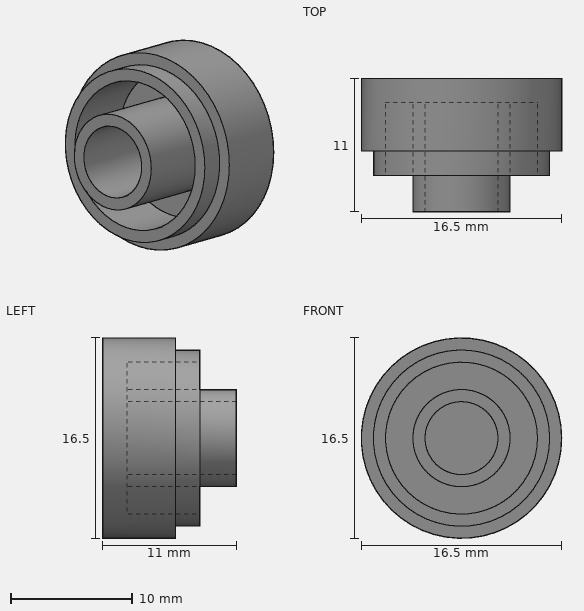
import cadquery as cq

wall = 1.0
bore_diameter = 6.0
body_diameter = 16.5
body_length = 6.0
collar_length = 2.0
tube_projection = 3.0
back_thickness = 2.0

tube_diameter = bore_diameter + 2 * wall
collar_diameter = body_diameter - 2 * wall
groove_diameter = collar_diameter - 2 * wall

tube_face = 0.0
collar_face = tube_face + tube_projection
body_face = collar_face + collar_length
back_face = body_face + body_length
floor = back_face - back_thickness


def cylinder(diameter, start, end):
    """Solid cylinder on the Y axis between two stations."""
    disc = cq.Workplane("XZ", origin=(0, start, 0)).circle(diameter / 2)
    return disc.extrude(start - end)


body = cylinder(body_diameter, body_face, back_face)
collar = cylinder(collar_diameter, collar_face, body_face)
cavity = cylinder(groove_diameter, collar_face, floor)
shell = body.union(collar).cut(cavity)

tube = cylinder(tube_diameter, tube_face, floor)
bore = cylinder(bore_diameter, tube_face, floor)

result = shell.union(tube.cut(bore))